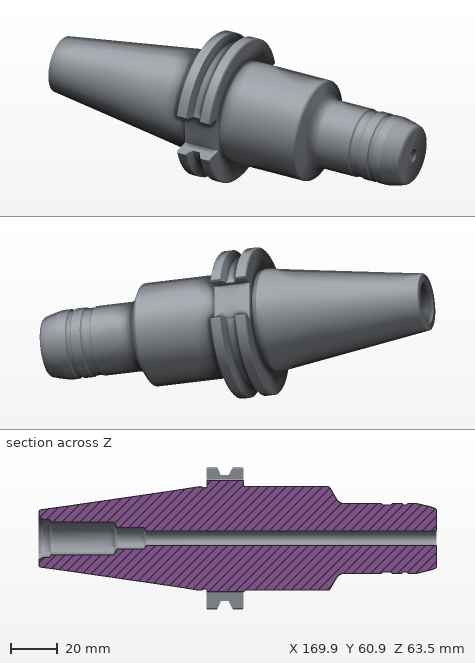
import cadquery as cq
import math

taper_length = 68.4
total_length = 169.88
small_end_x = -taper_length
nose_x = total_length - taper_length

gauge_radius = 22.225
taper_ratio = 7 / 24
small_end_radius = gauge_radius - taper_length * taper_ratio / 2
small_end_fillet = 0.8
gauge_land = 1.2
neck_radius = 21.8
neck_slope = 0.5

flange_radius = 31.775
flange_start_x = 3.2
flange_end_x = 19.1
flange_edge_chamfer = 0.5
groove_floor_radius = 28.2
groove_floor_start_x = 9.4
groove_floor_end_x = 12.7
groove_rear_slope = 1.6
groove_front_slope = 2.0

slot_width = 16.7
slot_floor_fillet = 0.6
slot_edge_chamfer = 0.9
slot_floor_front = 22.8
slot_floor_back = 24.8

body_radius = 22.25
body_root_fillet = 0.8
body_end_x = 55.7
body_edge_fillet = 1.5
shoulder_angle = math.radians(60)
nose_radius = 15.0
shoulder_end_x = body_end_x + (body_radius - nose_radius) / math.tan(shoulder_angle)
nose_root_fillet = 4.0
wide_groove_x = (77.8, 82.65)
wide_groove_depth = 0.5
narrow_groove_x = (86.7, 89.3)
narrow_groove_depth = 0.5
groove_wall_run = 0.5
tip_start_x = 93.1
tip_radius = 13.0
tip_bulge = 0.2
tip_chamfer = 0.7

mouth_radius = 9.1
mouth_depth = 1.9
counterbore_radius = 8.0
counterbore_depth = 4.6
thread_radius = 6.9
thread_lead_in_depth = 5.4
thread_depth = 32.0
drill_radius = 4.5
drill_depth = 45.0
through_radius = 3.0
drill_point_angle = math.radians(60)


selection_gap = 0.05


def nose_groove(span, depth):
    """Outline points of a shallow groove with sloped walls."""
    start, end = span
    floor = nose_radius - depth
    return [
        (start, nose_radius),
        (start + groove_wall_run, floor),
        (end - groove_wall_run, floor),
        (end, nose_radius),
    ]


def make_blank():
    """Turned outer shape, revolved about the X axis."""
    outline = [
        (small_end_x, 0),
        (small_end_x, small_end_radius),
        (0, gauge_radius),
        (gauge_land, gauge_radius),
        (gauge_land + neck_slope, neck_radius),
        (flange_start_x, neck_radius),
        (flange_start_x, flange_radius - flange_edge_chamfer),
        (flange_start_x + flange_edge_chamfer, flange_radius),
        (groove_floor_start_x - groove_rear_slope, flange_radius),
        (groove_floor_start_x, groove_floor_radius),
        (groove_floor_end_x, groove_floor_radius),
        (groove_floor_end_x + groove_front_slope, flange_radius),
        (flange_end_x - flange_edge_chamfer, flange_radius),
        (flange_end_x, flange_radius - flange_edge_chamfer),
        (flange_end_x, body_radius),
        (body_end_x, body_radius),
        (shoulder_end_x, nose_radius),
        *nose_groove(wide_groove_x, wide_groove_depth),
        *nose_groove(narrow_groove_x, narrow_groove_depth),
        (tip_start_x, nose_radius),
    ]
    tip_end_x = nose_x - tip_chamfer
    tip_middle = ((tip_start_x + tip_end_x) / 2, (nose_radius + tip_radius) / 2 + tip_bulge)
    return (
        cq.Workplane("XZ")
        .polyline(outline)
        .threePointArc(tip_middle, (tip_end_x, tip_radius))
        .lineTo(nose_x, tip_radius - tip_chamfer)
        .lineTo(nose_x, 0)
        .close()
        .revolve(360, (0, 0, 0), (1, 0, 0))
    )


def make_bore():
    """Solid filling the stepped draw-bar bore that runs through the whole part."""
    thread_point = (thread_radius - drill_radius) / math.tan(drill_point_angle)
    drill_point = (drill_radius - through_radius) / math.tan(drill_point_angle)
    outline = [
        (0, 0),
        (0, mouth_radius),
        (mouth_depth, counterbore_radius),
        (counterbore_depth, counterbore_radius),
        (thread_lead_in_depth, thread_radius),
        (thread_depth, thread_radius),
        (thread_depth + thread_point, drill_radius),
        (drill_depth, drill_radius),
        (drill_depth + drill_point, through_radius),
        (total_length, through_radius),
        (total_length, 0),
    ]
    bore = cq.Workplane("XZ").polyline(outline).close().revolve(360, (0, 0, 0), (1, 0, 0))
    return bore.translate((small_end_x, 0, 0))


def circle_at(x, radius):
    """Selector for the circular edge of the given radius at station x."""
    reach = radius + selection_gap
    return cq.selectors.BoxSelector(
        (x - selection_gap, -reach, -reach),
        (x + selection_gap, reach, reach),
        boundingbox=True,
    )


def round_turned_edges(blank):
    """Round the small end, the flange-to-body corner, the shoulder and the root of the nose."""
    blank = blank.edges(circle_at(small_end_x, small_end_radius)).fillet(small_end_fillet)
    blank = blank.edges(circle_at(flange_end_x, body_radius)).fillet(body_root_fillet)
    blank = blank.edges(circle_at(body_end_x, body_radius)).fillet(body_edge_fillet)
    return blank.edges(circle_at(shoulder_end_x, nose_radius)).fillet(nose_root_fillet)


def make_drive_slot(side, floor):
    """Cutter for one drive slot; side is -1 for -Y and +1 for +Y."""
    half_width = slot_width / 2
    flange_width = flange_end_x - flange_start_x
    slot = (
        cq.Workplane("XY")
        .box(flange_width, flange_radius - floor, slot_width, centered=(False, False, True))
        .edges("|X and <Y")
        .fillet(slot_floor_fillet)
        .translate((flange_start_x, floor, 0))
    )
    wall_top = math.sqrt(flange_radius**2 - half_width**2)
    flare_bottom = wall_top - slot_edge_chamfer
    flare_rise = flange_radius - flare_bottom
    flare = (
        cq.Workplane("YZ", origin=(flange_start_x, 0, 0))
        .polyline([
            (flare_bottom, -half_width),
            (flare_bottom, half_width),
            (flange_radius, half_width + flare_rise),
            (flange_radius, -half_width - flare_rise),
        ])
        .close()
        .extrude(flange_width)
    )
    cutter = slot.union(flare)
    return cutter if side > 0 else cutter.mirror("XZ")


result = round_turned_edges(make_blank()).cut(make_bore())
for side, floor in ((-1, slot_floor_front), (1, slot_floor_back)):
    result = result.cut(make_drive_slot(side, floor))